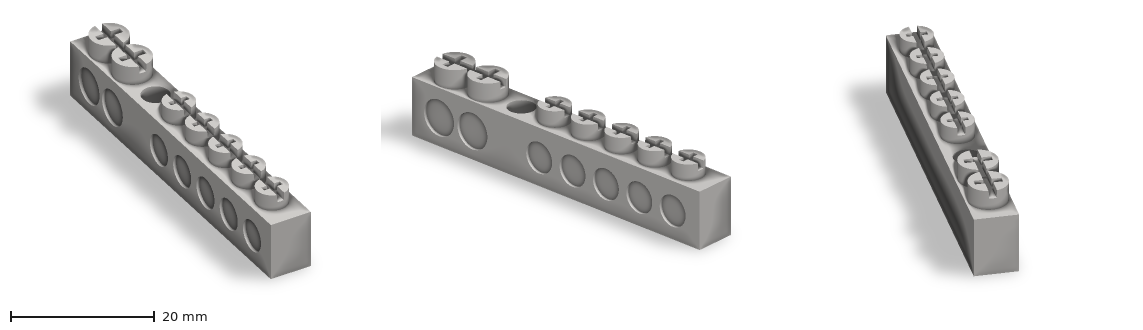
import cadquery as cq

bar_length = 54.0
bar_width = 6.5
bar_height = 9.0

station_count = 8
station_pitch = 6.25
large_stations = (0, 1)
hole_station = 2
small_stations = range(hole_station + 1, station_count)

mounting_hole_diameter = 4.2

recess_height = 4.4
recess_depth = 0.5
large_recess_diameter = 5.6
small_recess_diameter = 4.85

large_head_diameter = 5.8
large_head_height = 2.95
large_arm_length = 4.0
large_arm_width = 1.0
small_head_diameter = 4.8
small_head_height = 2.55
small_arm_length = 3.0
small_arm_width = 0.8
slot_width = 1.2
slot_depth = 1.2
drive_draft = 3.0


def station_x(station):
    """X position of a station, with the bar centred on X = 0."""
    return (station - (station_count - 1) / 2) * station_pitch


def screw_head(x, diameter, height, arm_length, arm_width):
    """Cylindrical head standing on the bar, with a drafted cross drive."""
    head = cq.Workplane("XY", origin=(x, 0, bar_height)).circle(diameter / 2).extrude(height)
    head_top = cq.Workplane("XY", origin=(x, 0, bar_height + height))
    slot_length = 2 * diameter
    slot = head_top.rect(slot_length, slot_width).extrude(-slot_depth, taper=drive_draft)
    arm = head_top.rect(arm_width, arm_length).extrude(-slot_depth, taper=drive_draft)
    return head.cut(slot).cut(arm)


def side_recess(x, diameter):
    """Shallow round pocket to cut into the front side of the bar."""
    front_face = cq.Workplane("XZ", origin=(x, -bar_width / 2, recess_height))
    return front_face.circle(diameter / 2).extrude(-recess_depth)


result = cq.Workplane("XY").box(bar_length, bar_width, bar_height, centered=(True, True, False))

mounting_hole = (
    cq.Workplane("XY", origin=(station_x(hole_station), 0, 0))
    .circle(mounting_hole_diameter / 2)
    .extrude(bar_height)
)
result = result.cut(mounting_hole)

for station in large_stations:
    x = station_x(station)
    head = screw_head(x, large_head_diameter, large_head_height, large_arm_length, large_arm_width)
    result = result.cut(side_recess(x, large_recess_diameter)).union(head)

for station in small_stations:
    x = station_x(station)
    head = screw_head(x, small_head_diameter, small_head_height, small_arm_length, small_arm_width)
    result = result.cut(side_recess(x, small_recess_diameter)).union(head)